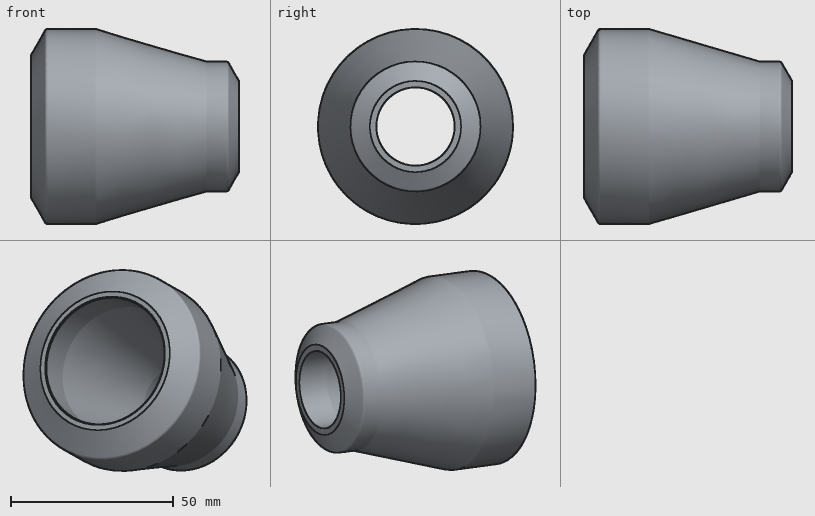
import cadquery as cq

length = 64.0

body_radius = 60.0 / 2
neck_radius = 40.0 / 2
large_face_radius = 21.95
small_face_radius = 14.0
large_bevel_end = 4.6
body_end = 20.0
neck_start = 54.0
small_bevel_start = length - 3.45
corner_fillet_radius = 1.0

large_bore_radius = neck_radius
small_bore_radius = 24.0 / 2
mouth_chamfer = 0.3
large_bore_end = 12.0
small_bore_start = neck_start

profile = (
    cq.Workplane("XY")
    .moveTo(0, large_bore_radius + mouth_chamfer)
    .lineTo(0, large_face_radius)
    .lineTo(large_bevel_end, body_radius)
    .lineTo(body_end, body_radius)
    .lineTo(neck_start, neck_radius)
    .lineTo(small_bevel_start, neck_radius)
    .lineTo(length, small_face_radius)
    .lineTo(length, small_bore_radius)
    .lineTo(small_bore_start, small_bore_radius)
    .lineTo(large_bore_end, large_bore_radius)
    .lineTo(mouth_chamfer, large_bore_radius)
    .close()
)
nozzle = profile.revolve(360, (0, 0, 0), (1, 0, 0))


def circle_edges(part, x, radius):
    """Select the circular edge of the given radius in the plane at x."""
    margin = 0.05
    box = cq.selectors.BoxSelector(
        (x - margin, -radius - margin, -radius - margin),
        (x + margin, radius + margin, radius + margin),
        boundingbox=True,
    )
    return part.edges("%CIRCLE").edges(box)


outer_corners = [
    (large_bevel_end, body_radius),
    (body_end, body_radius),
    (neck_start, neck_radius),
    (small_bevel_start, neck_radius),
]
for corner_x, corner_radius in outer_corners:
    nozzle = circle_edges(nozzle, corner_x, corner_radius).fillet(corner_fillet_radius)

result = nozzle